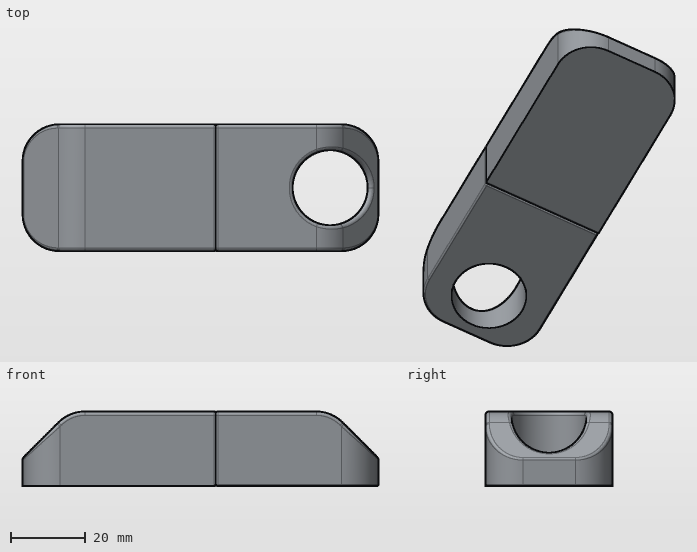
import cadquery as cq
import math

length = 95.2
width = 34.0
height = 20.0
cap_length = 51.7
body_length = length - cap_length

corner_radius = 10.0
crown_radius = 10.0
nose_height = 7.4
slope_angle = 45.0

top_round = 2.0 / 2
seam_round = top_round / 2

hole_diameter = 20.0
hole_from_end = 12.9

left_end = -length / 2
right_end = length / 2


def nose_block(block_length):
    """Block with a sloped nose at X = 0, a flat seam face at X = block_length and a rounded top edge."""
    angle = math.radians(slope_angle)
    slope_top_z = height - crown_radius * (1 - math.cos(angle))
    slope_top_x = (slope_top_z - nose_height) / math.tan(angle)
    crown_x = slope_top_x + crown_radius * math.sin(angle)
    mid_crown_point = (
        crown_x - crown_radius * math.sin(angle / 2),
        height - crown_radius * (1 - math.cos(angle / 2)),
    )
    side_profile = (
        cq.Workplane("XZ")
        .lineTo(0, nose_height)
        .lineTo(slope_top_x, slope_top_z)
        .threePointArc(mid_crown_point, (crown_x, height))
        .lineTo(block_length, height)
        .lineTo(block_length, 0)
        .close()
        .extrude(width / 2, both=True)
    )
    outline = (
        cq.Workplane("XY")
        .box(block_length, width, height, centered=(False, True, False))
        .edges("|Z and <X")
        .fillet(corner_radius)
    )
    block = side_profile.intersect(outline)

    return block.edges("|X and >Z").fillet(top_round)


def make_cap():
    cap = nose_block(cap_length).faces(">X").edges().fillet(seam_round)
    return cap.translate((left_end, 0, 0))


def make_body():
    body = nose_block(body_length).mirror("YZ").translate((right_end, 0, 0))
    body = body.faces("<X or <Z").edges().fillet(seam_round)
    hole = (
        cq.Workplane("XY")
        .center(right_end - hole_from_end, 0)
        .circle(hole_diameter / 2)
        .extrude(height)
    )
    body = body.cut(hole)

    return body.faces(">Z").edges("%CIRCLE").fillet(top_round)


cap = make_cap()
body = make_body()
result = cq.Compound.makeCompound([cap.val(), body.val()])